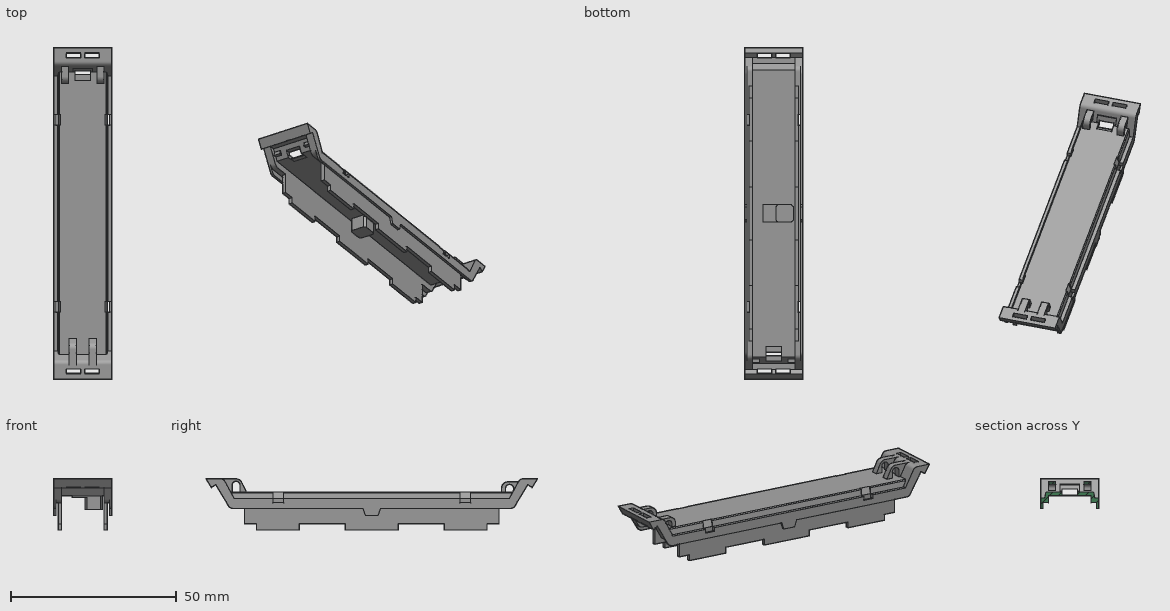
import cadquery as cq

WIDTH = 17.5
HALF_LENGTH = 50.0
TOP_Z = 15.5
SKIRT_BOTTOM_Z = 6.5
LEDGE_Z = 9.45
SKIRT_END_Y = 42.75
NOTCH_Y, NOTCH_Z = 47.05, 13.7
HOOK_TIP_Y, HOOK_TIP_Z = 48.35, 12.75
FLANGE_INNER_Y = 44.72
LEDGE_END_Y = 41.42
FLANGE_ROUND = 1.6
SKIRT_CORNER_ROUND = 1.5
SLOPE_RUN = (FLANGE_INNER_Y - LEDGE_END_Y) / (TOP_Z - LEDGE_Z)

SKIRT_THICKNESS = 0.7
WEB_BOTTOM_Z = 8.2
PLATE_BOTTOM_Z = 10.35
CHANNEL_HALF_WIDTH = 6.35
WEB_END_ROUND = 1.8
END_RELIEF_DEPTH = 1.8

PLATE_TOP_Z = 11.55
PLATE_SHOULDER_Z = 11.25
PLATE_FOOT_HALF_WIDTH = 7.6
PLATE_SHOULDER_HALF_WIDTH = 7.3
PLATE_TOP_HALF_WIDTH = 6.95
PLATE_HALF_LENGTH = 43.5

TAB_BOTTOM_Z = 4.4
TAB_HALF_TOP = 2.65
TAB_HALF_BOTTOM = 1.9

LEG_THICKNESS = 1.1
LEG_HALF_LENGTH = 38.4
LEG_BOTTOM_Z = 1.85
MID_FOOT_HALF_LENGTH = 8.0
END_FOOT_INNER_Y = 21.8
END_FOOT_OUTER_Y = 34.8

WINDOW_Y = 28.2
WINDOW_LENGTH = 3.2
WINDOW_BOTTOM_Z = 8.25
WINDOW_FOOT_X = 7.45
WINDOW_TOP_X = 6.7

SLOT_CENTER_X = 2.8
SLOT_WIDTH = 4.3
SLOT_INNER_Y = 46.95
SLOT_OUTER_Y = 48.45
SLOT_TAPER = 0.35

OPENING_WIDTH = 4.6
OPENING_FLOOR_Y = 40.05
OPENING_FLOOR_END_Y = 41.9
OPENING_FLOOR_Z = 10.6
OPENING_CEILING_Y = 42.85
FRAME_WIDTH = 5.9
FRAME_TOP_Y = 43.7
FRAME_HEIGHT = 0.25

CLIP_WIDTH = 2.15
CLIP_FOOT_Z = 11.5
REAR_CLIP_X = 5.33
REAR_CLIP_TOP_Z = 14.6
REAR_CLIP_TIP_Y = 39.1
REAR_CLIP_ROOT_Y = 45.0
REAR_CLIP_ROUND = 2.0
REAR_ARCH_Y = 41.55
REAR_ARCH_RADIUS = 1.2
REAR_ARCH_TOP_Z = 13.75
FRONT_CLIP_X = 3.0
FRONT_CLIP_TIP_Y = -37.75
FRONT_CLIP_TOP_Y = -39.75
FRONT_CLIP_ROOT_Y = -46.5
FRONT_CLIP_ROUND = 2.0
FRONT_ARCH_Y = -40.9
FRONT_ARCH_RADIUS = 1.15
FRONT_ARCH_TOP_Z = 14.7

BLOCK_LEFT_X, BLOCK_RIGHT_X = 0.65, 5.9
BLOCK_BOTTOM_Z = 6.15
BLOCK_CHAMFER = 0.6
PAD_LEFT_X = -3.2
PAD_BOTTOM_Z = 9.8


def box(x0, x1, y0, y1, z0, z1):
    """Box given by its limits along each axis."""
    return cq.Workplane("XY").box(x1 - x0, y1 - y0, z1 - z0, centered=False).translate((x0, y0, z0))


def along_x(points, x_center, width):
    """Closed (Y, Z) outline extruded symmetrically about x_center."""
    outline = cq.Workplane("YZ").polyline(points).close()
    return outline.extrude(width / 2, both=True).translate((x_center, 0, 0))


def along_y(points, half_length):
    """Closed (X, Z) outline extruded symmetrically about the middle of the length."""
    return cq.Workplane("XZ").polyline(points).close().extrude(half_length, both=True)


def inner_slope_z(y):
    """Height of the inner face of the rear sloping wall at a given Y."""
    return LEDGE_Z + (y - LEDGE_END_Y) / SLOPE_RUN


def inner_slope_y(z):
    """Y of the inner face of the rear sloping wall at a given height."""
    return LEDGE_END_Y + (z - LEDGE_Z) * SLOPE_RUN


def outer_slope_y(z):
    """Y of the outer face of the rear sloping wall at a given height."""
    run = (NOTCH_Y - SKIRT_END_Y) / (NOTCH_Z - SKIRT_BOTTOM_Z)
    return SKIRT_END_Y + (z - SKIRT_BOTTOM_Z) * run


def cross_edge(y, z, x=0):
    """Selector for the edge running along X whose middle is at (x, y, z)."""
    return cq.selectors.NearestToPointSelector((x, y, z))


def tray_shell():
    """Tray body with its tabs and plate, hollowed from below."""
    rear_half = [
        (SKIRT_END_Y, SKIRT_BOTTOM_Z),
        (NOTCH_Y, NOTCH_Z),
        (HOOK_TIP_Y, HOOK_TIP_Z),
        (HALF_LENGTH, TOP_Z),
        (FLANGE_INNER_Y, TOP_Z),
        (LEDGE_END_Y, LEDGE_Z),
    ]
    front_half = [(-y, z) for y, z in reversed(rear_half)]
    tray = along_x(rear_half + front_half, 0, WIDTH)
    for side in (-1, 1):
        tray = tray.edges(cross_edge(side * FLANGE_INNER_Y, TOP_Z)).fillet(FLANGE_ROUND)
        tray = tray.edges(cross_edge(side * SKIRT_END_Y, SKIRT_BOTTOM_Z)).fillet(SKIRT_CORNER_ROUND)

    tab = [
        (-TAB_HALF_TOP, SKIRT_BOTTOM_Z),
        (-TAB_HALF_BOTTOM, TAB_BOTTOM_Z),
        (TAB_HALF_BOTTOM, TAB_BOTTOM_Z),
        (TAB_HALF_TOP, SKIRT_BOTTOM_Z),
    ]
    tray = tray.union(along_x(tab, 0, WIDTH))

    plate = [
        (-PLATE_FOOT_HALF_WIDTH, LEDGE_Z),
        (-PLATE_SHOULDER_HALF_WIDTH, PLATE_SHOULDER_Z),
        (-PLATE_TOP_HALF_WIDTH, PLATE_TOP_Z),
        (PLATE_TOP_HALF_WIDTH, PLATE_TOP_Z),
        (PLATE_SHOULDER_HALF_WIDTH, PLATE_SHOULDER_Z),
        (PLATE_FOOT_HALF_WIDTH, LEDGE_Z),
    ]
    tray = tray.union(along_y(plate, PLATE_HALF_LENGTH))

    skirt_inner = WIDTH / 2 - SKIRT_THICKNESS
    hollow = box(-skirt_inner, skirt_inner, -HALF_LENGTH, HALF_LENGTH, 0, WEB_BOTTOM_Z)
    channel = box(-CHANNEL_HALF_WIDTH, CHANNEL_HALF_WIDTH, -HALF_LENGTH, HALF_LENGTH, 0, PLATE_BOTTOM_Z)
    tray = tray.cut(hollow)
    for side in (-1, 1):
        tray = tray.edges(cross_edge(side * outer_slope_y(WEB_BOTTOM_Z), WEB_BOTTOM_Z)).fillet(WEB_END_ROUND)
        tray = tray.cut(end_relief(side))
    return tray.cut(channel)


def end_relief(side):
    """Cut that thins a sloping end wall between its two outer columns."""
    outer_y = outer_slope_y(PLATE_BOTTOM_Z)
    outline = [
        (side * NOTCH_Y, NOTCH_Z),
        (side * outer_y, PLATE_BOTTOM_Z),
        (side * (outer_y - END_RELIEF_DEPTH), PLATE_BOTTOM_Z),
        (side * (NOTCH_Y - END_RELIEF_DEPTH), NOTCH_Z),
    ]
    return along_x(outline, 0, 2 * CHANNEL_HALF_WIDTH)


def leg(side):
    """Long leg with three feet, flush with the side of the central channel."""
    x_center = side * (CHANNEL_HALF_WIDTH + LEG_THICKNESS / 2)
    x0 = x_center - LEG_THICKNESS / 2
    x1 = x_center + LEG_THICKNESS / 2
    body = box(x0, x1, -LEG_HALF_LENGTH, LEG_HALF_LENGTH, LEG_BOTTOM_Z, LEDGE_Z)
    feet = [
        (-END_FOOT_OUTER_Y, -END_FOOT_INNER_Y),
        (-MID_FOOT_HALF_LENGTH, MID_FOOT_HALF_LENGTH),
        (END_FOOT_INNER_Y, END_FOOT_OUTER_Y),
    ]
    for y0, y1 in feet:
        body = body.union(box(x0, x1, y0, y1, 0, LEG_BOTTOM_Z))
    return body


def snap_window(side, y_center):
    """Notch through the skirt and ledge with a leaning back face on the plate, open below."""
    outside = WIDTH / 2
    skirt_inner = outside - SKIRT_THICKNESS
    outline = [
        (side * outside, WINDOW_BOTTOM_Z),
        (side * skirt_inner, WINDOW_BOTTOM_Z),
        (side * skirt_inner, WEB_BOTTOM_Z),
        (side * WINDOW_FOOT_X, WEB_BOTTOM_Z),
        (side * WINDOW_FOOT_X, LEDGE_Z),
        (side * WINDOW_TOP_X, PLATE_TOP_Z),
        (side * outside, PLATE_TOP_Z),
    ]
    return along_y(outline, WINDOW_LENGTH / 2).translate((0, y_center, 0))


def flange_slot(end, x_center):
    """Slot through a flange, its outer wall leaning inward with depth."""
    outline = [
        (end * SLOT_INNER_Y, TOP_Z),
        (end * SLOT_OUTER_Y, TOP_Z),
        (end * (SLOT_OUTER_Y - SLOT_TAPER), HOOK_TIP_Z),
        (end * SLOT_INNER_Y, HOOK_TIP_Z),
    ]
    return along_x(outline, x_center, SLOT_WIDTH)


def opening_frame():
    """Raised pad on the inner face of the rear wall, around the opening."""
    plate_end_y = inner_slope_y(PLATE_TOP_Z)
    top_z = inner_slope_z(FRAME_TOP_Y)
    outline = [
        (plate_end_y, PLATE_TOP_Z),
        (FRAME_TOP_Y, top_z),
        (FRAME_TOP_Y, top_z + FRAME_HEIGHT),
        (plate_end_y, PLATE_TOP_Z + FRAME_HEIGHT),
    ]
    return along_x(outline, 0, FRAME_WIDTH)


def rear_opening():
    """Passage through the rear wall, with a floor pocket in the plate."""
    ceiling = inner_slope_z(OPENING_CEILING_Y) + FRAME_HEIGHT
    half = OPENING_WIDTH / 2
    pocket = box(-half, half, OPENING_FLOOR_Y, HALF_LENGTH, OPENING_FLOOR_Z, ceiling)
    passage = box(-half, half, OPENING_FLOOR_END_Y, HALF_LENGTH, SKIRT_BOTTOM_Z, ceiling)
    return pocket.union(passage)


def arch(y_center, radius, top_z, x_center):
    """Round-topped passage under a clip."""
    spring_z = top_z - radius
    outline = (
        cq.Workplane("YZ")
        .moveTo(y_center - radius, PLATE_TOP_Z)
        .lineTo(y_center - radius, spring_z)
        .threePointArc((y_center, top_z), (y_center + radius, spring_z))
        .lineTo(y_center + radius, PLATE_TOP_Z)
        .close()
    )
    return outline.extrude(CLIP_WIDTH / 2, both=True).translate((x_center, 0, 0))


def rear_clip(x_center):
    """Arched clip between the plate and the rear wall."""
    outline = [
        (REAR_CLIP_TIP_Y, CLIP_FOOT_Z),
        (REAR_CLIP_TIP_Y, REAR_CLIP_TOP_Z),
        (inner_slope_y(REAR_CLIP_TOP_Z), REAR_CLIP_TOP_Z),
        (REAR_CLIP_ROOT_Y, CLIP_FOOT_Z),
    ]
    clip = along_x(outline, x_center, CLIP_WIDTH)
    clip = clip.edges(cross_edge(REAR_CLIP_TIP_Y, REAR_CLIP_TOP_Z, x_center)).fillet(REAR_CLIP_ROUND)
    return clip.cut(arch(REAR_ARCH_Y, REAR_ARCH_RADIUS, REAR_ARCH_TOP_Z, x_center))


def front_clip(x_center):
    """Arched clip between the plate and the front flange."""
    outline = [
        (FRONT_CLIP_TIP_Y, CLIP_FOOT_Z),
        (FRONT_CLIP_TOP_Y, TOP_Z),
        (FRONT_CLIP_ROOT_Y, TOP_Z),
        (-PLATE_HALF_LENGTH, CLIP_FOOT_Z),
    ]
    clip = along_x(outline, x_center, CLIP_WIDTH)
    clip = clip.edges(cross_edge(FRONT_CLIP_TOP_Y, TOP_Z, x_center)).fillet(FRONT_CLIP_ROUND)
    return clip.cut(arch(FRONT_ARCH_Y, FRONT_ARCH_RADIUS, FRONT_ARCH_TOP_Z, x_center))


def underside_blocks():
    """Block with chamfered corners and a thin pad beside it, under the plate."""
    half = (BLOCK_RIGHT_X - BLOCK_LEFT_X) / 2
    block = box(BLOCK_LEFT_X, BLOCK_RIGHT_X, -half, half, BLOCK_BOTTOM_Z, PLATE_BOTTOM_Z)
    block = block.edges("|Z").chamfer(BLOCK_CHAMFER)
    pad = box(PAD_LEFT_X, BLOCK_LEFT_X + half, -half, half, PAD_BOTTOM_Z, PLATE_BOTTOM_Z)
    return block.union(pad)


result = tray_shell().union(underside_blocks()).union(opening_frame()).cut(rear_opening())
for side in (-1, 1):
    result = result.union(leg(side))
    result = result.union(rear_clip(side * REAR_CLIP_X))
    result = result.union(front_clip(side * FRONT_CLIP_X))
for side in (-1, 1):
    for end in (-1, 1):
        result = result.cut(snap_window(side, end * WINDOW_Y))
        result = result.cut(flange_slot(end, side * SLOT_CENTER_X))